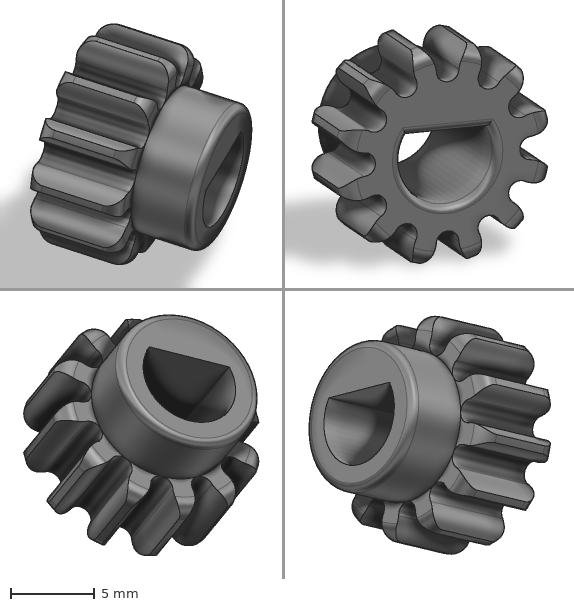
import cadquery as cq
import math

tooth_count = 12
tip_radius = 6.9
root_radius = 4.647
gap_radius = 0.73
tip_half_width = 0.249
flank_mid_radial = 6.24
flank_mid_half_width = 0.6
gear_width = 6.0
tooth_rounding = 1.0

total_length = 10.0
hub_radius = root_radius
bore_radius = 3.05
bore_flat_height = 1.56
edge_rounding = 0.5

pitch_angle = 360 / tooth_count


def rotated(point, degrees):
    """Turn a (y, z) point about the part axis."""
    angle = math.radians(degrees)
    y, z = point
    return (
        y * math.cos(angle) - z * math.sin(angle),
        y * math.sin(angle) + z * math.cos(angle),
    )


def make_gap_cutter():
    """Prism of one tooth gap, centred on +Z."""
    half_pitch = pitch_angle / 2
    tip_radial = math.sqrt(tip_radius**2 - tip_half_width**2)
    tip = rotated((-tip_half_width, tip_radial), -half_pitch)
    flank_mid = rotated((-flank_mid_half_width, flank_mid_radial), -half_pitch)
    gap_center = root_radius + gap_radius
    clear_height = tip_radius + edge_rounding
    return (
        cq.Workplane("YZ")
        .moveTo(-gap_radius, gap_center)
        .threePointArc((0, root_radius), (gap_radius, gap_center))
        .threePointArc(flank_mid, tip)
        .lineTo(tip[0], clear_height)
        .lineTo(-tip[0], clear_height)
        .lineTo(-tip[0], tip[1])
        .threePointArc((-flank_mid[0], flank_mid[1]), (-gap_radius, gap_center))
        .close()
        .extrude(gear_width)
    )


def make_gear():
    """Disk with rounded rims, cut by the tooth gaps."""
    gear = cq.Workplane("YZ").circle(tip_radius).extrude(gear_width)
    gear = gear.edges("%CIRCLE").fillet(tooth_rounding)
    gap = make_gap_cutter()
    for index in range(tooth_count):
        gear = gear.cut(gap.rotate((0, 0, 0), (1, 0, 0), index * pitch_angle))
    return gear


def make_hub():
    """Full-length cylinder, rounded at its free end."""
    hub = cq.Workplane("YZ").circle(hub_radius).extrude(total_length)
    return hub.faces(">X").edges().fillet(edge_rounding)


def cut_bore(body):
    """Through bore with a flat on the +Z side and a rounded mouth on the gear face."""
    flat_half_width = math.sqrt(bore_radius**2 - bore_flat_height**2)
    bore = (
        cq.Workplane("YZ")
        .moveTo(-flat_half_width, bore_flat_height)
        .threePointArc((0, -bore_radius), (flat_half_width, bore_flat_height))
        .close()
        .extrude(total_length)
    )
    mouth_zone = cq.selectors.BoxSelector(
        (-edge_rounding, -bore_radius, -bore_radius),
        (edge_rounding, bore_radius, bore_radius),
    )
    return body.cut(bore).faces("<X").edges(mouth_zone).fillet(edge_rounding)


result = cut_bore(make_gear().union(make_hub()))